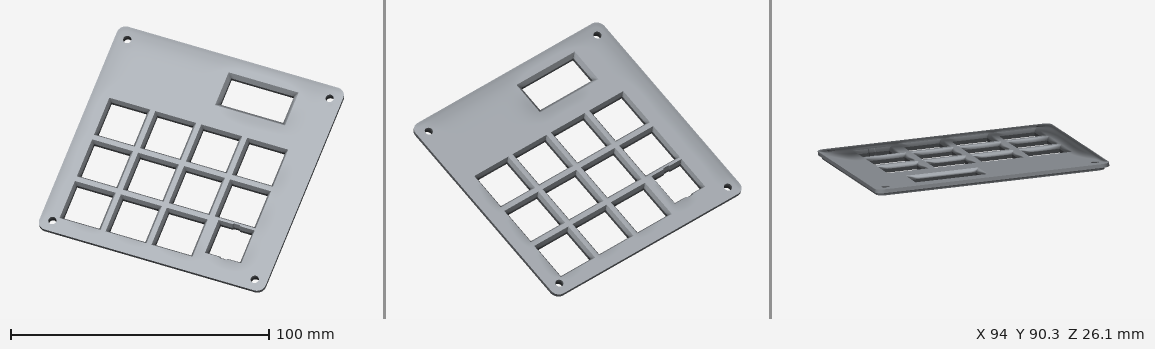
import cadquery as cq

plate_width = 94.0
plate_length = 93.0
layer_thickness = 1.5
corner_radius = 3.5
tilt_angle = 14.7

side_step = 1.2
front_step = 1.5
back_step = 3.1

screw_hole_diameter = 3.2
screw_hole_edge_distance = 5.0
screw_hole_shift_y = -0.4

key_pitch = 19.1
key_opening = 17.0
key_taper = 1.0
key_columns = 4
key_rows = 3
first_key_x = -31.2
first_key_y = 6.7

display_width = 29.0
display_length = 15.0
display_taper = 1.5
display_x = 15.1
display_y = 32.2

encoder_opening = 15.0
encoder_taper = 0.9
encoder_y = -29.4
encoder_notch_width = 3.2
encoder_notch_depth = 0.42
encoder_notch_corner_radius = 0.7

total_thickness = 2 * layer_thickness
last_key_x = first_key_x + (key_columns - 1) * key_pitch
encoder_x = last_key_x + (key_opening - encoder_opening) / 2


def rounded_layer(width, length, center_y, top_z):
    """One layer of the plate with rounded corners, hanging down from top_z."""
    return (
        cq.Workplane("XY", origin=(0, center_y, top_z))
        .rect(width, length)
        .extrude(-layer_thickness)
        .edges("|Z")
        .fillet(corner_radius)
    )


def window_outline(width, length, corner_radius):
    outline = cq.Sketch().rect(width, length)
    if corner_radius > 0:
        outline = outline.vertices().fillet(corner_radius)
    return outline


def tapered_opening(x, y, width, length, side_taper, end_taper, corner_radius=0):
    """A window that narrows through the upper layer and runs straight through the lower one."""
    top_outline = window_outline(width, length, corner_radius)
    inner_outline = window_outline(width - 2 * side_taper, length - 2 * end_taper, corner_radius)
    layer_joint = cq.Location(cq.Vector(0, 0, -layer_thickness))
    funnel = (
        cq.Workplane("XY", origin=(x, y, 0))
        .placeSketch(top_outline, inner_outline.moved(layer_joint))
        .loft()
    )
    shaft = (
        cq.Workplane("XY", origin=(x, y, -layer_thickness))
        .placeSketch(inner_outline)
        .extrude(-layer_thickness)
    )
    return funnel.union(shaft)


def stacked_layers():
    lower_width = plate_width - 2 * side_step
    lower_length = plate_length - front_step - back_step
    lower_center_y = (front_step - back_step) / 2
    upper = rounded_layer(plate_width, plate_length, 0, 0)
    lower = rounded_layer(lower_width, lower_length, lower_center_y, -layer_thickness)
    return upper.union(lower)


def screw_holes():
    spacing_x = plate_width - 2 * screw_hole_edge_distance
    spacing_y = plate_length - 2 * screw_hole_edge_distance
    return (
        cq.Workplane("XY", origin=(0, screw_hole_shift_y, 0))
        .rect(spacing_x, spacing_y, forConstruction=True)
        .vertices()
        .circle(screw_hole_diameter / 2)
        .extrude(-total_thickness)
    )


def key_openings():
    openings = cq.Workplane("XY")
    for row in range(key_rows):
        for column in range(key_columns):
            if row == key_rows - 1 and column == key_columns - 1:
                continue
            key_x = first_key_x + column * key_pitch
            key_y = first_key_y - row * key_pitch
            openings = openings.add(
                tapered_opening(key_x, key_y, key_opening, key_opening, key_taper, key_taper)
            )
    return openings.combine()


def display_cutout():
    return tapered_opening(
        display_x, display_y, display_width, display_length, display_taper, display_taper
    )


def encoder_cutout():
    """Square tapered window with a shallow round-cornered notch in its front and back sides."""
    window = tapered_opening(
        encoder_x, encoder_y, encoder_opening, encoder_opening, encoder_taper, encoder_taper
    )
    notches = tapered_opening(
        encoder_x,
        encoder_y,
        encoder_notch_width,
        encoder_opening + 2 * encoder_notch_depth,
        0,
        encoder_taper,
        encoder_notch_corner_radius,
    )
    return window.union(notches)


plate = (
    stacked_layers()
    .cut(screw_holes())
    .cut(key_openings())
    .cut(display_cutout())
    .cut(encoder_cutout())
)

result = plate.rotate((0, 0, 0), (1, 0, 0), tilt_angle)